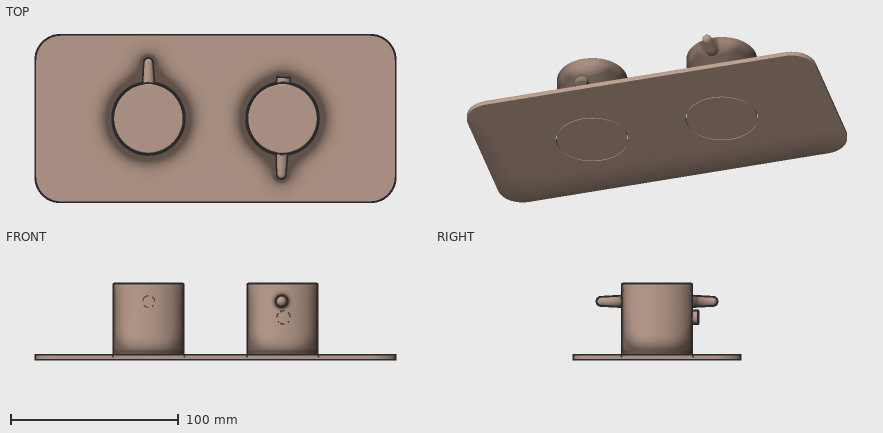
import cadquery as cq

PLATE_LENGTH = 215.0
PLATE_WIDTH = 100.0
PLATE_THICKNESS = 3.0
PLATE_CORNER_RADIUS = 15.0
PLATE_EDGE_FILLET = 0.5

TOTAL_HEIGHT = 45.5
KNOB_SPACING = 80.0
KNOB_DIAMETER = 42.1
KNOB_EDGE_FILLET = 1.3
HOLE_CLEARANCE = 0.54
KNOB_RADIUS = KNOB_DIAMETER / 2

LEVER_HEIGHT = 34.8
LEVER_REACH = 36.1
LEVER_ROOT_RADIUS = 3.7
LEVER_TIP_RADIUS = 2.8
ROOT_EMBED = 2.2

BUTTON_HEIGHT = 25.4
BUTTON_REACH = 24.7
BUTTON_DIAMETER = 8.2
BUTTON_EDGE_CHAMFER = 0.2

PLAIN_KNOB_TURN = 0.0
BUTTON_KNOB_TURN = 178.8


def make_plate():
    """Rounded plate with a softened top edge and two knob clearance holes."""
    plate = (
        cq.Workplane("XY")
        .rect(PLATE_LENGTH, PLATE_WIDTH)
        .extrude(PLATE_THICKNESS)
        .edges("|Z")
        .fillet(PLATE_CORNER_RADIUS)
        .faces(">Z")
        .edges()
        .fillet(PLATE_EDGE_FILLET)
    )
    holes = (
        cq.Workplane("XY")
        .rarray(KNOB_SPACING, 2.2, 2, 1)
        .circle(KNOB_RADIUS + HOLE_CLEARANCE)
        .extrude(PLATE_THICKNESS)
    )
    return plate.cut(holes)


def make_lever():
    """Tapered round lever with a domed tip, pointing along +Y."""
    root_y = KNOB_RADIUS - ROOT_EMBED
    dome_start_y = LEVER_REACH - LEVER_TIP_RADIUS
    dome_mid = LEVER_TIP_RADIUS * 0.5 ** 0.5
    return (
        cq.Workplane("XY")
        .moveTo(0, root_y)
        .lineTo(LEVER_ROOT_RADIUS, root_y)
        .lineTo(LEVER_TIP_RADIUS, dome_start_y)
        .threePointArc((dome_mid, dome_start_y + dome_mid), (0, LEVER_REACH))
        .close()
        .revolve(360, (0, 0, 0), (0, 1, 0))
        .translate((0, 0, LEVER_HEIGHT))
    )


def make_button():
    """Short round button with a chamfered end, pointing along -Y."""
    return (
        cq.Workplane("XZ", origin=(0, -(KNOB_RADIUS - ROOT_EMBED), BUTTON_HEIGHT))
        .circle(BUTTON_DIAMETER / 2)
        .extrude(BUTTON_REACH - KNOB_RADIUS + ROOT_EMBED)
        .faces("<Y")
        .chamfer(BUTTON_EDGE_CHAMFER)
    )


def make_knob(x, turn, has_button):
    """Cylindrical knob with its lever, and a stop button where asked for."""
    knob = (
        cq.Workplane("XY")
        .circle(KNOB_RADIUS)
        .extrude(TOTAL_HEIGHT)
        .faces(">Z")
        .edges()
        .fillet(KNOB_EDGE_FILLET)
        .union(make_lever())
    )
    if has_button:
        knob = knob.union(make_button())
    return knob.rotate((0, 0, 0), (0, 0, 1), turn).translate((x, 0, 0))


plate = make_plate()
knobs = []
for side, turn, has_button in (
    (-1, PLAIN_KNOB_TURN, False),
    (1, BUTTON_KNOB_TURN, True),
):
    knobs.append(make_knob(side * KNOB_SPACING / 2, turn, has_button))

result = cq.Compound.makeCompound([plate.val(), *[knob.val() for knob in knobs]])